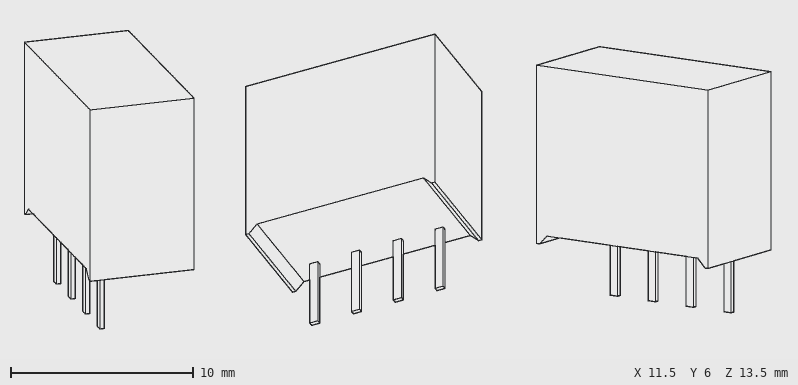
import cadquery as cq

total_height = 13.49
housing_length = 11.5
housing_depth = 6.0
housing_height = 10.0

foot_height = 0.5
foot_tip_width = 0.2
foot_root_width = 0.7

pin_count = 4
pin_pitch = 2.54
pin_width = 0.5
pin_thickness = 0.25
pin_setback = 1.25

foot_bottom = total_height - housing_height
underside = foot_bottom + foot_height
half_length = housing_length / 2
pin_y = -housing_depth / 2 + pin_setback


def make_housing():
    """Block with a tapered foot along each end, extruded through its depth."""
    tip_x = half_length - foot_tip_width
    root_x = half_length - foot_root_width
    outline = [
        (-half_length, total_height),
        (-half_length, foot_bottom),
        (-tip_x, foot_bottom),
        (-root_x, underside),
        (root_x, underside),
        (tip_x, foot_bottom),
        (half_length, foot_bottom),
        (half_length, total_height),
    ]
    profile = cq.Workplane("XZ").polyline(outline).close()
    return profile.extrude(housing_depth / 2, both=True)


def make_pin(x):
    """Flat pin hanging from the underside of the housing."""
    pin = cq.Workplane("XY").box(pin_width, pin_thickness, underside, centered=(True, True, False))
    return pin.translate((x, pin_y, 0))


housing = make_housing()

pins = []
for index in range(pin_count):
    pin_x = (index - (pin_count - 1) / 2) * pin_pitch
    pins.append(make_pin(pin_x).val())

result = cq.Compound.makeCompound([housing.val(), *pins])